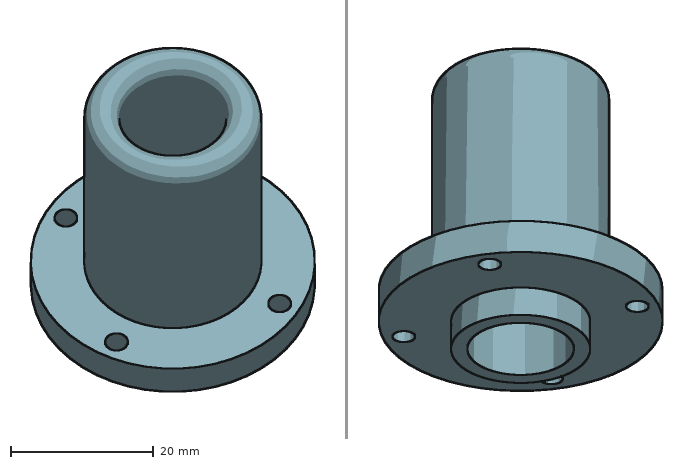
import cadquery as cq

total_height = 42.5
flange_diameter = 40.0
flange_thickness = 5.0
spigot_diameter = 19.6
spigot_height = 4.4
sleeve_diameter = 25.0
bore_diameter = 15.0
hole_diameter = 3.2
bolt_circle_diameter = 34.0
hole_count = 4
first_hole_angle = 45.0

flange_top = spigot_height + flange_thickness
bore_radius = bore_diameter / 2
sleeve_radius = sleeve_diameter / 2
rim_radius = (sleeve_radius - bore_radius) / 2
rim_start = total_height - rim_radius


def make_flange():
    """Round flange with through holes on a bolt circle."""
    return (
        cq.Workplane("XY", origin=(0, 0, spigot_height))
        .circle(flange_diameter / 2)
        .circle(bore_radius)
        .extrude(flange_thickness)
        .faces(">Z")
        .workplane(origin=(0, 0, flange_top))
        .polarArray(bolt_circle_diameter / 2, first_hole_angle, 360, hole_count)
        .hole(hole_diameter)
    )


def make_spigot():
    """Short locating ring below the flange."""
    return (
        cq.Workplane("XY")
        .circle(spigot_diameter / 2)
        .circle(bore_radius)
        .extrude(spigot_height)
    )


def make_sleeve():
    """Tube above the flange, its wall ending in a full-round rim."""
    return (
        cq.Workplane("XZ")
        .moveTo(bore_radius, flange_top)
        .lineTo(sleeve_radius, flange_top)
        .lineTo(sleeve_radius, rim_start)
        .threePointArc((bore_radius + rim_radius, total_height), (bore_radius, rim_start))
        .close()
        .revolve(360, (0, 0, 0), (0, 1, 0))
    )


result = make_flange().union(make_spigot()).union(make_sleeve())